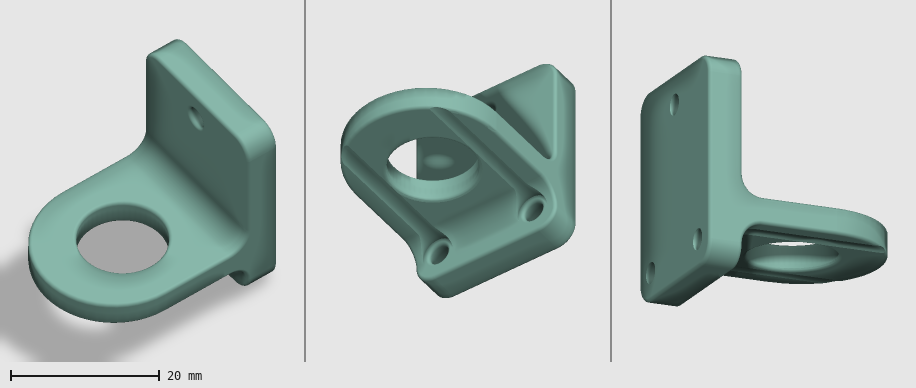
import cadquery as cq
import math

width = 23.1
depth = 30.38
height = 29.62

plate_thickness = 4.98
corner_radius = 3.0
edge_round = 0.5

inner_fillet = 3.0
arm_bottom = corner_radius + inner_fillet
arm_thickness = 3.8
arm_top = arm_bottom + arm_thickness
nose_radius = width / 2
nose_center_y = -(depth - nose_radius)

ring_diameter = 12.5
ring_center_x = 0.1
ring_center_y = -17.45

screw_diameter = 3.0
upper_screw_x = -0.1
upper_screw_z = 25.28
lower_screws = [(-7.78, 3.92), (7.78, 3.77)]
head_clearance_diameter = 4.92


def plate():
    return (
        cq.Workplane("XY")
        .box(width, plate_thickness, height, centered=(True, False, False))
        .translate((0, -plate_thickness, 0))
        .edges("|Y")
        .fillet(corner_radius)
    )


def arm():
    return (
        cq.Workplane("XY", origin=(0, 0, arm_bottom))
        .moveTo(-width / 2, 0)
        .lineTo(-width / 2, nose_center_y)
        .threePointArc((0, -depth), (width / 2, nose_center_y))
        .lineTo(width / 2, 0)
        .close()
        .extrude(arm_thickness)
    )


def inner_corner(arm_face_z, direction):
    """Concave fillet between the plate front and one face of the arm."""
    front = -plate_thickness
    tangent_y = front - inner_fillet
    tangent_z = arm_face_z + direction * inner_fillet
    bulge = inner_fillet * (1 - math.cos(math.pi / 4))
    return (
        cq.Workplane("YZ", origin=(-width / 2, 0, 0))
        .moveTo(front, arm_face_z)
        .lineTo(tangent_y, arm_face_z)
        .threePointArc((front - bulge, arm_face_z + direction * bulge), (front, tangent_z))
        .close()
        .extrude(width)
    )


def flared_rim(diameter):
    """Disc whose concave side leaves a rounded rim around a vertical hole."""
    radius = diameter / 2
    bulge = edge_round * (1 - math.cos(math.pi / 4))
    return (
        cq.Workplane("XZ")
        .moveTo(0, 0)
        .lineTo(radius + edge_round, 0)
        .threePointArc((radius + bulge, -bulge), (radius, -edge_round))
        .lineTo(0, -edge_round)
        .close()
        .revolve(360, (0, 0, 0), (0, 1, 0))
    )


def hole_cutter(diameter, length):
    """Vertical cutter hanging below Z = 0, with its upper rim flared."""
    return cq.Workplane("XY").circle(diameter / 2).extrude(-length).union(flared_rim(diameter))


def screw_hole(x, z):
    cutter = hole_cutter(screw_diameter, plate_thickness)
    return cutter.rotate((0, 0, 0), (1, 0, 0), 90).translate((x, -plate_thickness, z))


def head_clearance(x, z):
    """Screwdriver path from the plate front out past the nose, grazing the arm underside."""
    return (
        cq.Workplane("XZ", origin=(x, -plate_thickness, z))
        .circle(head_clearance_diameter / 2)
        .extrude(depth)
    )


body = plate().union(arm())
body = body.union(inner_corner(arm_top, 1)).union(inner_corner(arm_bottom, -1)).clean()

back_outline = cq.selectors.NearestToPointSelector((0, 0, height))
upper_outline = cq.selectors.NearestToPointSelector((0, -plate_thickness, height))
lower_outline = cq.selectors.NearestToPointSelector((0, -plate_thickness, 0))
body = body.edges(back_outline + upper_outline + lower_outline).fillet(edge_round)

ring_hole = hole_cutter(ring_diameter, arm_thickness)
ring_hole = ring_hole.union(ring_hole.mirror("XY").translate((0, 0, -arm_thickness)))
body = body.cut(ring_hole.translate((ring_center_x, ring_center_y, arm_top)))

body = body.cut(screw_hole(upper_screw_x, upper_screw_z))
for x, z in lower_screws:
    body = body.cut(head_clearance(x, z))
    body = body.cut(screw_hole(x, z))

result = body